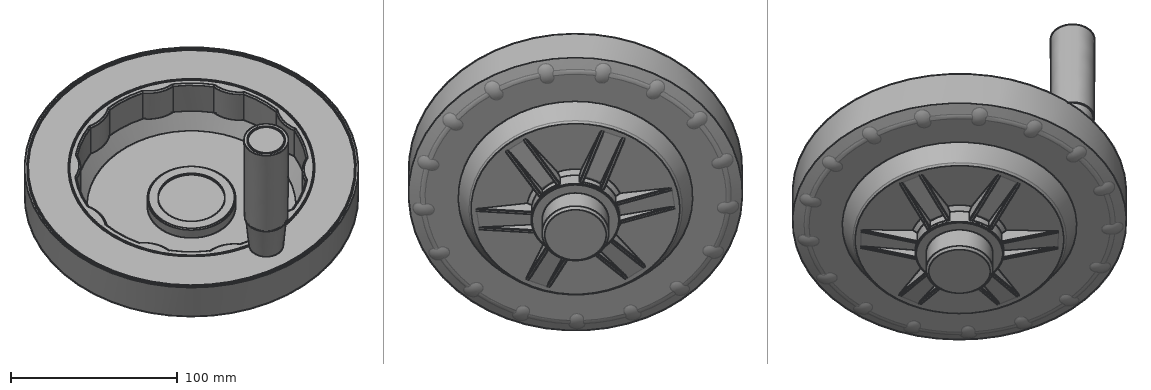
import cadquery as cq
import math

TOTAL_HEIGHT = 157.5
RIM_TOP = 67.5
OVERLAP = 2.0

RIM_RADIUS = 100.0
RIM_SIDE_BOTTOM = 42.5
RIM_KINK_RADIUS = 93.2
RIM_KINK_Z = 40.0
RIM_LIP_RADIUS = 6.0
RIM_UNDERSIDE = 39.2
GROOVE_RADII = (73.0, 97.8)
GROOVE_WIDTH = 0.8
GROOVE_DEPTH = 0.5

PAD_COUNT = 17
PAD_CIRCLE_RADIUS = 89.2
PAD_DOME_RADIUS = 14.0
PAD_BOTTOM_Z = 38.5
PAD_HEIGHT = 3.5

WALL_RADIUS = 69.2
WALL_BOTTOM = 44.2
FLOOR_RADIUS = 62.5
FLOOR_Z = 34.0
BOWL_TOP_RADIUS = 70.2
BOWL_BOTTOM_RADIUS = 63.2
BOWL_BOTTOM = 27.0
BOWL_EDGE_CHAMFER = 1.5
WALL_EDGE_CHAMFER = 1.0

LOBE_COUNT = 10
LOBE_START_ANGLE = 90.0
LOBE_RADIUS = 22.0
LOBE_HEIGHT = 2.8

HUB_RADIUS = 20.0
HUB_CHAMFER = 1.5
COLLAR_RADIUS = 26.5
COLLAR_BOTTOM = 15.2
COLLAR_CHAMFER = 0.5
FLARE_HEIGHT = 2.5
BOSS_TOP = 41.5
BOSS_CHAMFER = 0.8
RECESS_RADIUS = 20.0
RECESS_DEPTH = 1.5

RIB_PAIR_COUNT = 6
RIB_START_ANGLE = 30.0
RIB_OFFSET = 6.8
RIB_THICKNESS = 2.2
RIB_EDGE_CHAMFER = 0.5
RIB_OUTER_RADIUS = 59.0
COLLAR_RECESS_DEPTH = 0.8
RIB_HUB_Z = 17.8
WEB_HUB_Z = 23.5

HANDLE_X = 78.0
HANDLE_BOTTOM_RADIUS = 10.5
HANDLE_SPIGOT_RADIUS = 6.0
HANDLE_NECK_RADIUS = 12.3
HANDLE_GRIP_RADIUS = 13.0
HANDLE_TOP_RADIUS = 13.3
HANDLE_NECK_Z = 91.8
CAP_RADIUS = 10.8
CAP_GROOVE_WIDTH = 0.5
CAP_GROOVE_DEPTH = 0.5


def ring(inner_radius, width, bottom, height):
    """Flat ring around the Z axis."""
    return (
        cq.Workplane("XY", origin=(0, 0, bottom))
        .circle(inner_radius + width)
        .circle(inner_radius)
        .extrude(height)
    )


def make_bowl_and_hub():
    """Rim, bowl and hub as one turned body with a round cavity wall."""
    underside = [
        (0, 0),
        (HUB_RADIUS - HUB_CHAMFER, 0),
        (HUB_RADIUS, HUB_CHAMFER),
        (HUB_RADIUS, COLLAR_BOTTOM),
        (COLLAR_RADIUS - COLLAR_CHAMFER, COLLAR_BOTTOM),
        (COLLAR_RADIUS, COLLAR_BOTTOM + COLLAR_CHAMFER),
        (COLLAR_RADIUS, BOWL_BOTTOM - FLARE_HEIGHT),
        (COLLAR_RADIUS + FLARE_HEIGHT, BOWL_BOTTOM),
        (BOWL_BOTTOM_RADIUS - BOWL_EDGE_CHAMFER / 2, BOWL_BOTTOM),
        (BOWL_BOTTOM_RADIUS + BOWL_EDGE_CHAMFER / 2, BOWL_BOTTOM + BOWL_EDGE_CHAMFER),
        (BOWL_TOP_RADIUS, RIM_UNDERSIDE),
    ]
    upper_side = [
        (RIM_RADIUS, RIM_SIDE_BOTTOM),
        (RIM_RADIUS, RIM_TOP),
        (WALL_RADIUS + WALL_EDGE_CHAMFER, RIM_TOP),
        (WALL_RADIUS, RIM_TOP - WALL_EDGE_CHAMFER),
        (WALL_RADIUS, WALL_BOTTOM),
        (FLOOR_RADIUS, FLOOR_Z),
        (COLLAR_RADIUS, FLOOR_Z),
        (COLLAR_RADIUS, BOSS_TOP - BOSS_CHAMFER),
        (COLLAR_RADIUS - BOSS_CHAMFER, BOSS_TOP),
        (RECESS_RADIUS, BOSS_TOP),
        (RECESS_RADIUS, BOSS_TOP - RECESS_DEPTH),
        (0, BOSS_TOP - RECESS_DEPTH),
    ]
    lip_rise = RIM_KINK_Z - RIM_UNDERSIDE
    lip_run = math.sqrt(lip_rise * (2 * RIM_LIP_RADIUS - lip_rise))
    return (
        cq.Workplane("XZ")
        .polyline(underside)
        .lineTo(RIM_KINK_RADIUS - lip_run, RIM_UNDERSIDE)
        .tangentArcPoint((RIM_KINK_RADIUS, RIM_KINK_Z), relative=False)
        .polyline(upper_side, includeCurrent=True)
        .close()
        .revolve(360, (0, 0), (0, 1))
    )


def make_wall_lobes():
    """Rounded lobes that rise inward from the upright part of the cavity wall."""
    centre_radius = WALL_RADIUS - LOBE_HEIGHT + LOBE_RADIUS
    wall_height = RIM_TOP - WALL_BOTTOM
    lobes = (
        cq.Workplane("XY", origin=(0, 0, WALL_BOTTOM))
        .polarArray(centre_radius, LOBE_START_ANGLE, 360, LOBE_COUNT)
        .circle(LOBE_RADIUS)
        .extrude(wall_height)
        .faces(">Z")
        .chamfer(WALL_EDGE_CHAMFER)
    )
    trim = (
        cq.Workplane("XY", origin=(0, 0, WALL_BOTTOM))
        .circle(WALL_RADIUS + OVERLAP)
        .extrude(wall_height)
    )
    return lobes.intersect(trim)


def make_grip_pads():
    """Shallow spherical pads spaced around the underside of the rim."""
    dome_centre_z = PAD_BOTTOM_Z + PAD_DOME_RADIUS
    slab = cq.Workplane("XY", origin=(0, 0, PAD_BOTTOM_Z)).circle(RIM_RADIUS).extrude(PAD_HEIGHT)
    dome = cq.Workplane("XY", origin=(-PAD_CIRCLE_RADIUS, 0, dome_centre_z)).sphere(PAD_DOME_RADIUS)
    pad = dome.intersect(slab)
    return [
        pad.rotate((0, 0, 0), (0, 0, 1), index * 360 / PAD_COUNT)
        for index in range(PAD_COUNT)
    ]


def rib_plate(thickness, offset, hub_z):
    """Plate along +X whose lower edge climbs from the collar to the bowl."""
    inner_radius = COLLAR_RADIUS - 3 * OVERLAP
    slope = (BOWL_BOTTOM - hub_z) / (RIB_OUTER_RADIUS - COLLAR_RADIUS)
    inner_z = BOWL_BOTTOM - slope * (RIB_OUTER_RADIUS - inner_radius)
    return (
        cq.Workplane("XZ", origin=(0, offset + thickness / 2, 0))
        .polyline([
            (inner_radius, inner_z),
            (RIB_OUTER_RADIUS, BOWL_BOTTOM),
            (RIB_OUTER_RADIUS, BOWL_BOTTOM + OVERLAP),
            (inner_radius, BOWL_BOTTOM + OVERLAP),
        ])
        .close()
        .extrude(thickness)
    )


def make_rib_pair():
    """Two parallel plates with bevelled lower edges, joined by a shallow web."""
    pair = rib_plate(2 * RIB_OFFSET, 0, WEB_HUB_Z)
    for offset in (-RIB_OFFSET, RIB_OFFSET):
        plate = rib_plate(RIB_THICKNESS, offset, RIB_HUB_Z)
        pair = pair.union(plate.faces("<Z").edges("not |Y").chamfer(RIB_EDGE_CHAMFER))
    return pair


def make_collar_recess():
    """Cutter for the shallow step in the collar between two plates."""
    gap = 2 * RIB_OFFSET - RIB_THICKNESS
    height = WEB_HUB_Z - RIB_HUB_Z
    slab = (
        cq.Workplane("XY", origin=(0, 0, RIB_HUB_Z))
        .box(COLLAR_RADIUS + OVERLAP, gap, height, centered=(False, True, False))
    )
    band = ring(COLLAR_RADIUS - COLLAR_RECESS_DEPTH, 2 * COLLAR_RECESS_DEPTH, RIB_HUB_Z, height)
    return band.intersect(slab)


def make_handle():
    """Turned handle standing on the rim, with a grooved cap on top."""
    profile = [
        (0, RIM_TOP - OVERLAP),
        (HANDLE_SPIGOT_RADIUS, RIM_TOP - OVERLAP),
        (HANDLE_SPIGOT_RADIUS, RIM_TOP),
        (HANDLE_BOTTOM_RADIUS, RIM_TOP),
        (HANDLE_NECK_RADIUS, HANDLE_NECK_Z),
        (HANDLE_GRIP_RADIUS, HANDLE_NECK_Z),
        (HANDLE_TOP_RADIUS, TOTAL_HEIGHT),
        (0, TOTAL_HEIGHT),
    ]
    handle = cq.Workplane("XZ").polyline(profile).close().revolve(360, (0, 0), (0, 1))
    cap_groove = ring(CAP_RADIUS, CAP_GROOVE_WIDTH, TOTAL_HEIGHT - CAP_GROOVE_DEPTH, CAP_GROOVE_DEPTH)
    return handle.cut(cap_groove).translate((HANDLE_X, 0, 0))


wheel = make_bowl_and_hub().union(make_wall_lobes())
for pad in make_grip_pads():
    wheel = wheel.union(pad)

rib_pair = make_rib_pair()
collar_recess = make_collar_recess()
for index in range(RIB_PAIR_COUNT):
    angle = RIB_START_ANGLE + index * 360 / RIB_PAIR_COUNT
    wheel = wheel.union(rib_pair.rotate((0, 0, 0), (0, 0, 1), angle))
    wheel = wheel.cut(collar_recess.rotate((0, 0, 0), (0, 0, 1), angle))

for inner_radius in GROOVE_RADII:
    wheel = wheel.cut(ring(inner_radius, GROOVE_WIDTH, RIM_TOP - GROOVE_DEPTH, GROOVE_DEPTH))

result = wheel.union(make_handle())